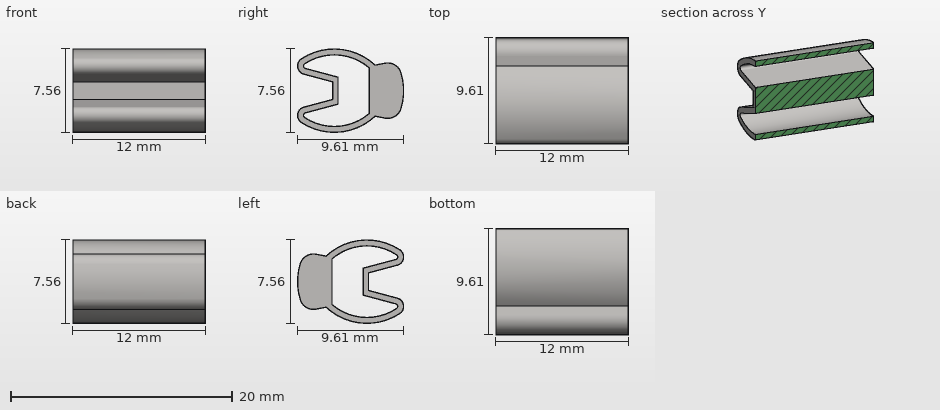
import cadquery as cq
import math

length = 12.0
half_height = 3.78
wall = 0.55

bulb_radius = 5.4
bulb_center = (0.0, half_height - bulb_radius)

tip_end_y = -3.32
tip_radius = 0.78

groove_angle = math.radians(15)
groove_floor_y = -0.15
groove_floor_wall = 0.5

head_end_y = 6.29
head_inner_y = 3.15
head_face_radius = 5.4
head_corner_radius = 1.27
head_corner_y = 4.82
neck_y = 3.7


def polar(center, radius, angle):
    """Point on a circle in the YZ plane."""
    return (center[0] + radius * math.cos(angle), center[1] + radius * math.sin(angle))


def circle_z(center, radius, y):
    """Upper Z of a circle at the given Y."""
    return center[1] + math.sqrt(radius**2 - (y - center[0])**2)


def direction(start, end):
    """Angle of the line from start to end."""
    return math.atan2(end[1] - start[1], end[0] - start[0])


def mirrored(point):
    return (point[0], -point[1])


tip_y = tip_end_y + tip_radius
tip_center = (tip_y, circle_z(bulb_center, bulb_radius - tip_radius, tip_y))
tip_bulb_angle = direction(bulb_center, tip_center)
tip_groove_angle = 1.5 * math.pi - groove_angle
tip_middle_angle = (tip_bulb_angle + tip_groove_angle) / 2


def bulb_half(start_y, inset, floor_y):
    """Points along the upper half of a bulb outline, from the head to the groove floor."""
    arc_radius = bulb_radius - inset
    end_radius = tip_radius - inset
    groove_start = polar(tip_center, end_radius, tip_groove_angle)
    floor_z = groove_start[1] - (floor_y - groove_start[0]) * math.tan(groove_angle)
    return [
        (start_y, circle_z(bulb_center, arc_radius, start_y)),
        (0.0, bulb_center[1] + arc_radius),
        polar(tip_center, end_radius, tip_bulb_angle),
        polar(tip_center, end_radius, tip_middle_angle),
        groove_start,
        (floor_y, floor_z),
    ]


def add_bulb(sketch, points):
    """Draw the bulb outline from the upper head end around to the lower one."""
    start, crown, tip_start, tip_middle, tip_end, floor = points
    return (
        sketch.moveTo(*start)
        .threePointArc(crown, tip_start)
        .threePointArc(tip_middle, tip_end)
        .lineTo(*floor)
        .lineTo(*mirrored(floor))
        .lineTo(*mirrored(tip_end))
        .threePointArc(mirrored(tip_middle), mirrored(tip_start))
        .threePointArc(mirrored(crown), mirrored(start))
    )


outer_points = bulb_half(neck_y, 0.0, groove_floor_y)
neck = outer_points[0]
face_center = (head_end_y - head_face_radius, 0.0)
corner_offset_y = head_corner_y - face_center[0]
corner_z = math.sqrt((head_face_radius - head_corner_radius)**2 - corner_offset_y**2)
corner_center = (head_corner_y, corner_z)
corner_face_angle = direction(face_center, corner_center)
neck_slope = direction(neck, corner_center) + math.asin(
    head_corner_radius / math.dist(neck, corner_center)
)
corner_neck_angle = neck_slope + math.pi / 2
corner_neck = polar(corner_center, head_corner_radius, corner_neck_angle)
corner_middle = polar(corner_center, head_corner_radius, (corner_face_angle + corner_neck_angle) / 2)
corner_face = polar(corner_center, head_corner_radius, corner_face_angle)

body = (
    add_bulb(cq.Workplane("YZ"), outer_points)
    .lineTo(*mirrored(corner_neck))
    .threePointArc(mirrored(corner_middle), mirrored(corner_face))
    .threePointArc((head_end_y, 0.0), corner_face)
    .threePointArc(corner_middle, corner_neck)
    .close()
    .extrude(length)
)

cavity_points = bulb_half(head_inner_y, wall, groove_floor_y + groove_floor_wall)
cavity = add_bulb(cq.Workplane("YZ"), cavity_points).close().extrude(length)

result = body.cut(cavity)